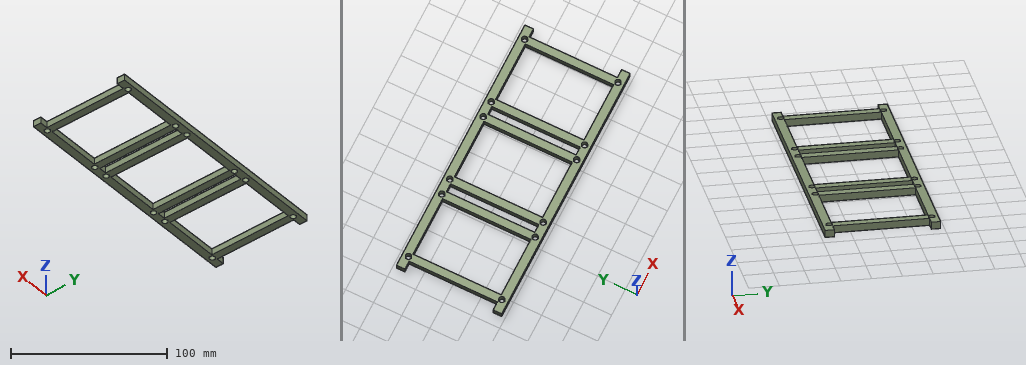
import cadquery as cq

length = 184.5
width = 75.0
thickness = 5.0

rail_width = 6.0
bar_width = 5.5

bay_count = 3
bay_pitch = 59.5
hole_spacing_x = 48.0
hole_spacing_y = 66.6
hole_diameter = 4.0

bay_centers = [(i - (bay_count - 1) / 2) * bay_pitch for i in range(bay_count)]
bar_centers = [
    center + side * hole_spacing_x / 2
    for center in bay_centers
    for side in (-1, 1)
]
rail_offset = (width - rail_width) / 2
hole_points = [
    (x, side * hole_spacing_y / 2)
    for x in bar_centers
    for side in (-1, 1)
]

rails = (
    cq.Workplane("XY")
    .pushPoints([(0, -rail_offset), (0, rail_offset)])
    .rect(length, rail_width)
    .extrude(thickness)
)

bars = (
    cq.Workplane("XY")
    .pushPoints([(x, 0) for x in bar_centers])
    .rect(bar_width, 2 * rail_offset)
    .extrude(thickness)
)

holes = (
    cq.Workplane("XY")
    .pushPoints(hole_points)
    .circle(hole_diameter / 2)
    .extrude(thickness)
)

result = rails.union(bars).cut(holes)